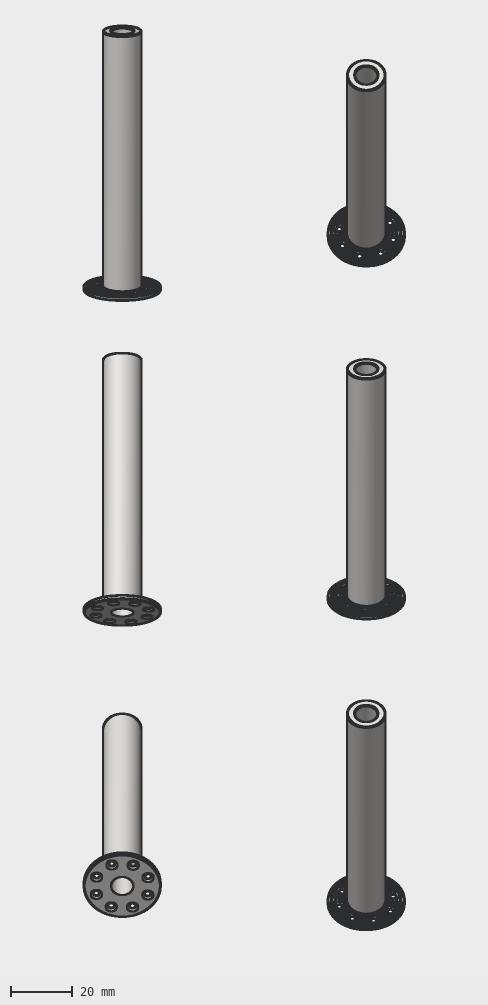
import cadquery as cq
import math

total_height = 87.5
tube_diameter = 12.5
bore_diameter = 7.2

flange_diameter = 25.0
flange_thickness = 1.5

edge_chamfer = 0.3

hole_count = 8
hole_circle_diameter = 18.0
hole_diameter = 2.0
countersink_diameter = 3.6
countersink_depth = 0.6

groove_count = 4
groove_width = 0.6
groove_depth = groove_width * math.sqrt(3) / 2
tube_to_first_groove = 1.0
first_groove_radius = tube_diameter / 2 + tube_to_first_groove
groove_pitch = (flange_diameter / 2 - first_groove_radius) / groove_count


def make_flange():
    """Round plate with both rims chamfered."""
    plate = cq.Workplane("XY").circle(flange_diameter / 2).extrude(flange_thickness)
    return plate.edges().chamfer(edge_chamfer)


def make_tube():
    """Solid tube body, chamfered at its upper rim."""
    body = cq.Workplane("XY").circle(tube_diameter / 2).extrude(total_height)
    return body.faces(">Z").edges().chamfer(edge_chamfer)


def make_bore():
    """Cutter for the through bore, flared at the top to leave a chamfered mouth."""
    bore_radius = bore_diameter / 2
    bore = cq.Solid.makeCylinder(bore_radius, total_height)
    mouth = cq.Solid.makeCone(
        bore_radius,
        bore_radius + edge_chamfer,
        edge_chamfer,
        cq.Vector(0, 0, total_height - edge_chamfer),
    )
    return bore.fuse(mouth)


def make_groove(radius):
    """Cutter ring with a triangular section, point down, at the flange top."""
    return (
        cq.Workplane("XZ")
        .moveTo(radius - groove_width / 2, flange_thickness)
        .lineTo(radius + groove_width / 2, flange_thickness)
        .lineTo(radius, flange_thickness - groove_depth)
        .close()
        .revolve(360, (0, 0, 0), (0, 1, 0))
    )


def make_flange_hole():
    """Cutter for one hole through the flange, with a countersink cone at each face."""
    hole_radius = hole_diameter / 2
    mouth_radius = countersink_diameter / 2
    upper_cone_foot = cq.Vector(0, 0, flange_thickness - countersink_depth)
    hole = cq.Solid.makeCylinder(hole_radius, flange_thickness)
    lower_cone = cq.Solid.makeCone(mouth_radius, hole_radius, countersink_depth)
    upper_cone = cq.Solid.makeCone(hole_radius, mouth_radius, countersink_depth, upper_cone_foot)
    return hole.fuse(lower_cone, upper_cone)


def make_flange_holes():
    """Cutters for the whole ring of flange holes, the first one on +X."""
    ring = cq.Workplane("XY").polarArray(hole_circle_diameter / 2, 0, 360, hole_count)
    hole = make_flange_hole()
    return ring.eachpoint(lambda place: hole.moved(place))


result = make_flange().union(make_tube()).cut(make_bore())
for index in range(groove_count):
    result = result.cut(make_groove(first_groove_radius + index * groove_pitch))
result = result.cut(make_flange_holes())